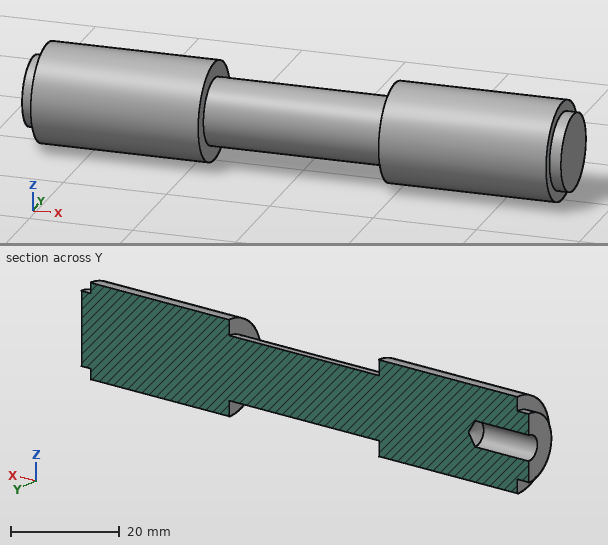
import cadquery as cq
import math

total_length = 104.6
left_boss_length = 2.6
right_boss_length = 2.2
sleeve_length = 32.4

sleeve_diameter = 19.0
shaft_diameter = 12.9
left_boss_diameter = 13.5
right_boss_diameter = 14.8

hole_diameter = 5.0
hole_depth = 12.5
drill_tip_angle = 118.0

left_end = -total_length / 2


def cylinder_along_x(start, length, diameter):
    """Solid cylinder on the X axis, running from start towards +X."""
    return cq.Workplane("YZ", origin=(start, 0, 0)).circle(diameter / 2).extrude(length)


def drilled_hole(start):
    """Cutter for a blind hole with a conical drill tip."""
    radius = hole_diameter / 2
    tip_length = radius / math.tan(math.radians(drill_tip_angle / 2))
    return (
        cq.Workplane("XY", origin=(start, 0, 0))
        .lineTo(0, radius)
        .lineTo(hole_depth, radius)
        .lineTo(hole_depth + tip_length, 0)
        .close()
        .revolve(360, (0, 0, 0), (1, 0, 0))
    )


shaft_length = total_length - left_boss_length - right_boss_length - 2 * sleeve_length
sections = [
    (left_boss_length, left_boss_diameter),
    (sleeve_length, sleeve_diameter),
    (shaft_length, shaft_diameter),
    (sleeve_length, sleeve_diameter),
    (right_boss_length, right_boss_diameter),
]

body = cq.Workplane("YZ")
section_start = left_end
for length, diameter in sections:
    body = body.union(cylinder_along_x(section_start, length, diameter))
    section_start += length

result = body.cut(drilled_hole(left_end))